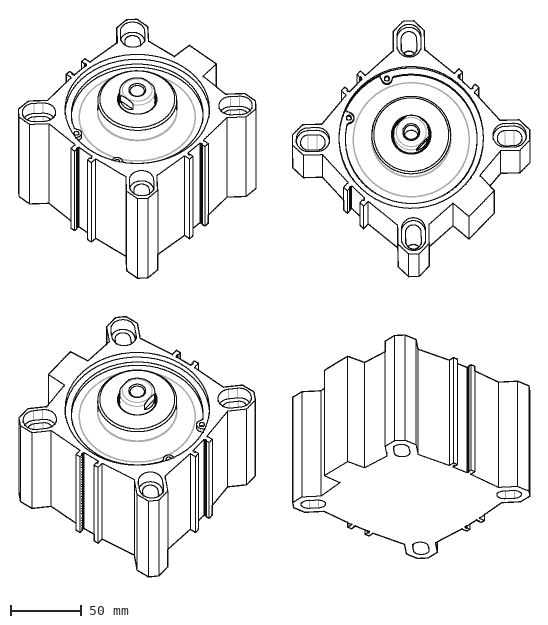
import cadquery as cq
import math

housing_height = 86.1
housing_half = 62.03
wall_crown = 54.4
wall_shoulder = 52.4
shoulder_half = 36.8
lug_chamfer = 5.2
lug_flank_end = housing_half - wall_shoulder + shoulder_half

rail_outer = 9.8
rail_root_inner = 6.4
rail_foot_inner = 6.2
rail_groove_inner = 6.8
rail_reach = 59.1
rail_foot_start = 56.3
rail_groove_start = 55.3
rail_wall_angles = (0, 90, 270)

overall_depth = 131.0
port_face = overall_depth - housing_half
port_top_half = 13.0
port_root_half = 13.9

slot_centre = 49.3
slot_stretch = 6.4
slot_diameter = 11.0
counterbore_diameter = 17.2
counterbore_depth = 11.0

ring_inner_diameter = 93.3
ring_outer_diameter = 106.2
ring_thickness = 3.7
ring_drop = 5.2
ear_x = 19.5
ear_radius = 3.7
ear_blend = 2.6
ear_hole_diameter = 3.5

cap_diameter = 102.2
cap_thickness = 19.6
hub_diameter = 82.1
hub_slope = 29.0
hub_blend = 0.7
collar_diameter = 56.0
collar_rise = 10.5
collar_chamfer = 1.5
wiper_mouth_diameter = 28.0
wiper_bore_diameter = 26.9
wiper_depth = 3.0
relief_diameter = 25.5
relief_depth = 6.0

rod_diameter = 25.0
rod_rise = 10.0
rod_round = 2.0
flat_width = 22.0
flat_height = 7.0
rod_hole_diameter = 10.1
rod_hole_mouth_diameter = 12.0
rod_hole_depth = 19.6
drill_half_angle = 59.0

ring_top = housing_height - ring_drop
cap_face = ring_top - ring_thickness
cap_bottom = cap_face - cap_thickness
collar_top = housing_height + collar_rise
rod_top = collar_top + rod_rise


def rotated(point, degrees):
    angle = math.radians(degrees)
    x, y = point
    return (x * math.cos(angle) - y * math.sin(angle), x * math.sin(angle) + y * math.cos(angle))


def housing_block():
    corner = [
        (wall_crown, rail_outer),
        (wall_shoulder, shoulder_half),
        (housing_half, lug_flank_end),
        (housing_half, housing_half - lug_chamfer),
        (housing_half - lug_chamfer, housing_half),
        (lug_flank_end, housing_half),
        (shoulder_half, wall_shoulder),
        (rail_outer, wall_crown),
    ]
    outline = [rotated(point, 90 * quarter) for quarter in range(4) for point in corner]
    return cq.Workplane("XY").polyline(outline).close().extrude(housing_height)


def rail_pair():
    """Two mirrored legs on the -Y wall, rooted inside it."""
    root = wall_shoulder
    leg = (
        cq.Workplane("XY")
        .polyline([
            (rail_outer, -root),
            (rail_outer, -rail_reach),
            (rail_foot_inner, -rail_reach),
            (rail_foot_inner, -rail_foot_start),
            (rail_groove_inner, -rail_foot_start),
            (rail_groove_inner, -rail_groove_start),
            (rail_root_inner, -rail_groove_start),
            (rail_root_inner, -root),
        ])
        .close()
        .extrude(housing_height)
    )
    return leg.union(leg.mirror("YZ"))


def port_block():
    return (
        cq.Workplane("XY")
        .polyline([
            (-port_root_half, wall_shoulder),
            (port_root_half, wall_shoulder),
            (port_top_half, port_face),
            (-port_top_half, port_face),
        ])
        .close()
        .extrude(housing_height)
    )


def corner_slot(quarter, diameter, depth):
    """Cutter for one diagonal slot, sunk from the housing top."""
    return (
        cq.Workplane("XY")
        .workplane(offset=housing_height - depth)
        .center(slot_centre, slot_centre)
        .slot2D(slot_stretch + diameter, diameter, 45)
        .extrude(depth)
        .rotate((0, 0, 0), (0, 0, 1), 90 * quarter)
    )


def disc(diameter, bottom, top):
    return cq.Workplane("XY").workplane(offset=bottom).circle(diameter / 2).extrude(top - bottom)


def make_housing():
    body = housing_block().union(port_block())
    for angle in rail_wall_angles:
        body = body.union(rail_pair().rotate((0, 0, 0), (0, 0, 1), angle))
    for quarter in range(4):
        body = body.cut(corner_slot(quarter, slot_diameter, housing_height))
        body = body.cut(corner_slot(quarter, counterbore_diameter, counterbore_depth))
    body = body.cut(disc(cap_diameter, cap_bottom, housing_height))
    return body.cut(disc(ring_outer_diameter, cap_face, ring_top))


def make_retaining_ring():
    ear_distance = math.hypot(ring_inner_diameter / 2, ear_radius)
    ear_y = math.sqrt(ear_distance**2 - ear_x**2)
    gap_half_angle = math.atan2(ear_x, ear_y) - math.asin(ear_radius / ear_distance)
    gap_reach = ring_outer_diameter
    gap_half_width = gap_reach * math.tan(gap_half_angle)
    gap = (
        cq.Workplane("XY")
        .polyline([(0, 0), (gap_half_width, -gap_reach), (-gap_half_width, -gap_reach)])
        .close()
        .extrude(ring_thickness)
    )
    ear_places = [(ear_x, -ear_y), (-ear_x, -ear_y)]
    ring = disc(ring_outer_diameter, 0, ring_thickness).cut(disc(ring_inner_diameter, 0, ring_thickness))
    ears = cq.Workplane("XY").pushPoints(ear_places).circle(ear_radius).extrude(ring_thickness)
    ring = ring.cut(gap).union(ears)
    for side in (1, -1):
        ear_corner = cq.selectors.BoxSelector(
            (side * ear_x, -ear_y - ear_radius, 0),
            (side * (ear_x + ear_radius), -ear_y + ear_radius, ring_thickness),
        )
        ring = ring.edges("|Z").edges(ear_corner).fillet(ear_blend)
    ring = ring.cut(
        cq.Workplane("XY").pushPoints(ear_places).circle(ear_hole_diameter / 2).extrude(ring_thickness)
    )
    return ring.translate((0, 0, cap_face))


def make_cap():
    hub_radius = hub_diameter / 2
    collar_radius = collar_diameter / 2
    hub_rise = (hub_radius - collar_radius) * math.tan(math.radians(hub_slope))
    profile = [
        (rod_diameter / 2, cap_bottom),
        (cap_diameter / 2, cap_bottom),
        (cap_diameter / 2, cap_face),
        (hub_radius, cap_face),
        (collar_radius, cap_face + hub_rise),
        (collar_radius, collar_top - collar_chamfer),
        (collar_radius - collar_chamfer, collar_top),
        (wiper_mouth_diameter / 2, collar_top),
        (wiper_bore_diameter / 2, collar_top - (wiper_mouth_diameter - wiper_bore_diameter) / 2),
        (wiper_bore_diameter / 2, collar_top - wiper_depth),
        (relief_diameter / 2, collar_top - wiper_depth),
        (relief_diameter / 2, collar_top - relief_depth),
        (rod_diameter / 2, collar_top - relief_depth),
    ]
    cap = cq.Workplane("XZ").polyline(profile).close().revolve(360, (0, 0, 0), (0, 1, 0))
    reach = hub_radius + hub_blend
    hub_edges = cq.selectors.BoxSelector(
        (-reach, -reach, cap_face - hub_blend),
        (reach, reach, cap_face + hub_rise + hub_blend),
        boundingbox=True,
    )
    return cap.edges(hub_edges).edges("%CIRCLE").fillet(hub_blend)


def rod_hole():
    """Cutter for the chamfered blind hole with a drill-point bottom."""
    hole_radius = rod_hole_diameter / 2
    mouth_radius = rod_hole_mouth_diameter / 2
    floor = rod_top - rod_hole_depth
    profile = [
        (0, rod_top),
        (mouth_radius, rod_top),
        (hole_radius, rod_top - (mouth_radius - hole_radius)),
        (hole_radius, floor),
        (0, floor - hole_radius / math.tan(math.radians(drill_half_angle))),
    ]
    return cq.Workplane("XZ").polyline(profile).close().revolve(360, (0, 0, 0), (0, 1, 0))


def wrench_flat():
    """Cutter for the -Y flat, whose lower end runs out at 45 degrees."""
    half_flat = flat_width / 2
    outside = rod_diameter
    flat_bottom = rod_top - flat_height
    return (
        cq.Workplane("YZ")
        .polyline([
            (-half_flat, rod_top),
            (-half_flat, flat_bottom),
            (-outside, flat_bottom - (outside - half_flat)),
            (-outside, rod_top),
        ])
        .close()
        .extrude(rod_diameter / 2, both=True)
    )


def make_rod():
    rod = disc(rod_diameter, cap_bottom, rod_top).faces(">Z").edges().fillet(rod_round)
    rod = rod.cut(wrench_flat()).cut(wrench_flat().mirror("XZ"))
    return rod.cut(rod_hole())


housing = make_housing()
retaining_ring = make_retaining_ring()
cap = make_cap()
rod = make_rod()

result = cq.Compound.makeCompound([housing.val(), retaining_ring.val(), cap.val(), rod.val()])